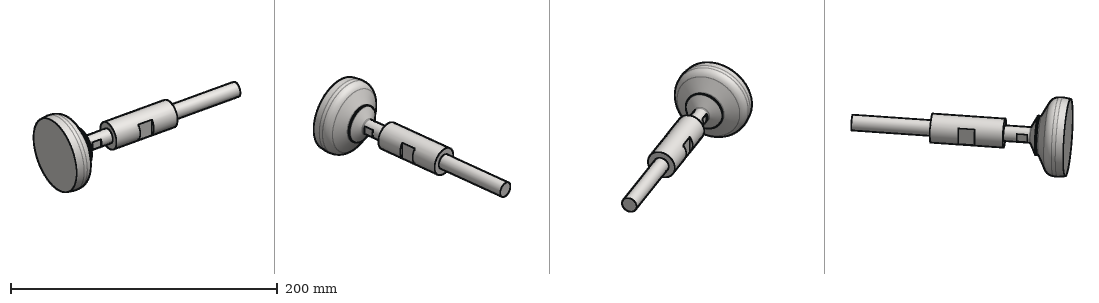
import cadquery as cq
import math


overall_length = 163.0
rod_diameter = 12.0
rod_radius = rod_diameter / 2

sleeve_diameter = 22.0
sleeve_length = 55.0
rod_above_sleeve = 60.0
sleeve_top = overall_length - rod_above_sleeve
sleeve_bottom = sleeve_top - sleeve_length

sleeve_flat_gap = 17.0
sleeve_flat_length = 12.25
sleeve_flat_center = (sleeve_top + sleeve_bottom) / 2
rod_flat_gap = 10.0
rod_flat_length = 8.0
rod_flat_center = 34.0

foot_radius = 59.98 / 2
widest_height = 6.0
rim_top = 9.0
rim_draft = math.radians(4.5)
sole_radius = 29.2
rim_top_radius = foot_radius - (rim_top - widest_height) * math.tan(rim_draft)
shoulder_radius = 7.9
cone_angle = math.radians(61.7)

waist_radius = 14.7
waist_fillet = 1.0
collar_radius = 15.0
collar_bottom = 22.3
collar_top = 23.3
collar_chamfer = 0.35
upper_cone_angle = math.radians(62.5)
rod_fillet = 0.7


def cylinder(diameter, start, end):
    """Solid cylinder on the Y axis from start to end."""
    return cq.Workplane("XZ", origin=(0, start, 0)).circle(diameter / 2).extrude(start - end)


def cut_wrench_flats(body, diameter, gap, length, center):
    """Cut two opposite flats that face -X and +X."""
    depth = (diameter - gap) / 2
    for side in (-1, 1):
        cutter = cq.Workplane("XY").box(depth, length, diameter)
        body = body.cut(cutter.translate((side * (gap + depth) / 2, center, 0)))
    return body


def arc_point(center, radius, angle):
    """Point of an arc, with the angle measured from the outward radial direction."""
    return (center[0] + radius * math.cos(angle), center[1] + radius * math.sin(angle))


def add_concave_fillet(outline, corner, slope_angle, radius):
    """Round the corner where a rising cone meets a cylinder, tangent to both.

    The slope angle is that of the cone's normal above the radial direction.
    """
    center = (corner[0] + radius, corner[1] + radius * math.tan(slope_angle / 2))
    start, middle, end = (
        arc_point(center, radius, math.pi + angle) for angle in (slope_angle, slope_angle / 2, 0)
    )
    return outline.lineTo(*start).threePointArc(middle, end)


def make_foot():
    """Revolve the half outline of the foot, given as (radius, height), and add the rod's flats."""
    shoulder_center = (
        rim_top_radius - shoulder_radius * math.cos(rim_draft),
        rim_top - shoulder_radius * math.sin(rim_draft),
    )
    shoulder_middle = arc_point(shoulder_center, shoulder_radius, (rim_draft + cone_angle) / 2)
    shoulder_end = arc_point(shoulder_center, shoulder_radius, cone_angle)
    waist_height = shoulder_end[1] + (shoulder_end[0] - waist_radius) / math.tan(cone_angle)

    outline = (
        cq.Workplane("XY")
        .lineTo(sole_radius, 0)
        .lineTo(foot_radius, widest_height)
        .lineTo(rim_top_radius, rim_top)
        .threePointArc(shoulder_middle, shoulder_end)
    )
    outline = add_concave_fillet(outline, (waist_radius, waist_height), cone_angle, waist_fillet)
    upper_cone_radius = collar_radius - collar_chamfer
    upper_cone_bottom = collar_top + collar_chamfer
    outline = (
        outline.lineTo(waist_radius, collar_bottom - collar_chamfer)
        .lineTo(collar_radius, collar_bottom)
        .lineTo(collar_radius, collar_top)
        .lineTo(upper_cone_radius, upper_cone_bottom)
    )
    upper_cone_top = upper_cone_bottom + (upper_cone_radius - rod_radius) / math.tan(upper_cone_angle)
    outline = add_concave_fillet(outline, (rod_radius, upper_cone_top), upper_cone_angle, rod_fillet)
    foot = (
        outline.lineTo(rod_radius, overall_length)
        .lineTo(0, overall_length)
        .close()
        .revolve(360, (0, 0, 0), (0, 1, 0))
    )
    return cut_wrench_flats(foot, rod_diameter, rod_flat_gap, rod_flat_length, rod_flat_center)


def make_sleeve():
    """Sleeve with a through bore that fits the rod."""
    blank = cylinder(sleeve_diameter, sleeve_bottom, sleeve_top)
    sleeve = blank.cut(cylinder(rod_diameter, sleeve_bottom, sleeve_top))
    return cut_wrench_flats(
        sleeve, sleeve_diameter, sleeve_flat_gap, sleeve_flat_length, sleeve_flat_center
    )


foot = make_foot()
sleeve = make_sleeve()

result = cq.Compound.makeCompound([foot.val(), sleeve.val()])